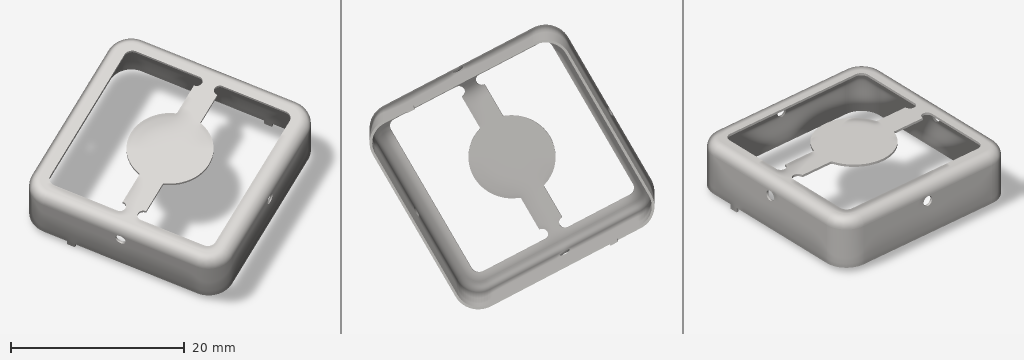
import cadquery as cq

side = 25.7
body_height = 6.48
corner_radius = 3.0
top_round = 1.25
wall = 0.3

window_side = 21.2
window_corner_radius = 1.0
disc_radius = 5.0
strap_width = 3.0
relief_radius = 0.7
junction_radius = 0.2

hole_diameter = 1.3
hole_depth_from_top = 2.0

tab_width = 1.03
tab_height = 0.62
tab_offset = 6.35


def rounded_block(width, height, vertical_radius, top_radius):
    """Square block with rounded vertical edges and a rounded top edge."""
    block = cq.Workplane("XY").rect(width, width).extrude(height)
    return block.edges("|Z").fillet(vertical_radius).faces(">Z").edges().fillet(top_radius)


def make_shell():
    """Cover of even thickness, open at the bottom."""
    outside = rounded_block(side, body_height, corner_radius, top_round)
    inside = rounded_block(side - 2 * wall, body_height - wall, corner_radius - wall, top_round - wall)
    return outside.cut(inside)


def make_window():
    """Cutter for the top plate that leaves the disc and its necked strap."""
    plate_bottom = body_height - wall
    plane = cq.Workplane("XY").workplane(offset=plate_bottom)
    window = plane.rect(window_side, window_side).extrude(wall).edges("|Z").fillet(window_corner_radius)
    strap = plane.rect(strap_width, window_side).extrude(wall)
    island = strap.union(plane.circle(disc_radius).extrude(wall))
    near_disc = cq.selectors.BoxSelector((-disc_radius, -disc_radius, 0), (disc_radius, disc_radius, side))
    island = island.edges("|Z").edges(near_disc).fillet(junction_radius)
    relief_y = window_side / 2 - relief_radius
    reliefs = plane.rect(strap_width, 2 * relief_y, forConstruction=True).vertices()
    reliefs = reliefs.circle(relief_radius).extrude(wall)
    return window.cut(island).union(reliefs)


def make_cross_holes():
    """Two perpendicular drillings that pass through all four walls."""
    hole_z = body_height - hole_depth_from_top
    along_y = cq.Workplane("XZ").center(0, hole_z).circle(hole_diameter / 2).extrude(side / 2, both=True)
    along_x = along_y.rotate((0, 0, 0), (0, 0, 1), 90)
    return along_y.union(along_x)


def make_tab(direction):
    """Tab flush with the outer wall; direction -1 is the -Y wall, +1 the +Y wall."""
    center_y = direction * (side - wall) / 2
    tab = cq.Workplane("XY").box(tab_width, wall, 2 * tab_height)
    return tab.translate((direction * tab_offset, center_y, 0))


result = make_shell().cut(make_window()).cut(make_cross_holes())
for direction in (-1, 1):
    result = result.union(make_tab(direction))